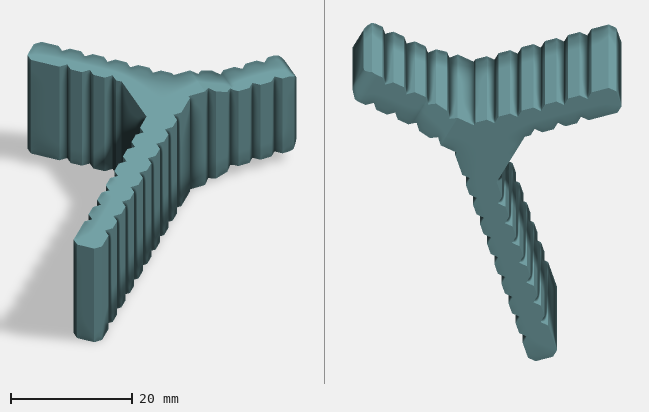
import cadquery as cq
import math

height = 20.0
arm_width = 5.0
left_arm_length = 29.0
long_arm_length = 47.0
web_leg = 7.0
end_chamfer = 1.0

groove_depth = 1.0
groove_pitch = 4.0

left_outer_first, left_outer_count = 4.0, 6
left_inner_first, left_inner_count = 14.0, 3
long_root_groove = 4.0
long_outer_first, long_outer_count = 10.0, 9
long_inner_first, long_inner_count = 16.0, 7

diagonal_length = 20.0
diagonal_width = 6.0
diagonal_height = 16.0
taper_start = 3.0
taper_end = 8.5
diagonal_groove_first, diagonal_groove_count = 4.0, 4
tip_radius = 2.0
diagonal_angle = 45.0


def groove_positions(first, count):
    return [first + i * groove_pitch for i in range(count)]


def chamfered_bar(x_start, x_end, y_center, width):
    """Full-height bar along X with its two corners at x_end chamfered."""
    bar = cq.Workplane("XY").box(x_end - x_start, width, height, centered=(False, True, False))
    bar = bar.edges("|Z and >X").chamfer(end_chamfer)
    return bar.translate((x_start, y_center, 0))


def cut_grooves(bar, positions, face_y, inward):
    """Cut V grooves into the bar side at face_y; inward is the sign of Y into the bar."""
    for x in positions:
        groove = (
            cq.Workplane("XY")
            .polyline([
                (x - groove_depth, face_y),
                (x + groove_depth, face_y),
                (x, face_y + inward * groove_depth),
            ])
            .close()
            .extrude(height)
        )
        bar = bar.cut(groove)
    return bar


def rotate_about_z(body, angle):
    return body.rotate((0, 0, 0), (0, 0, 1), angle)


def make_left_arm():
    """Built along +X with its outer side at Y = 0, then turned to point along -X."""
    arm = chamfered_bar(arm_width / 2, left_arm_length, arm_width / 2, arm_width)
    arm = cut_grooves(arm, groove_positions(left_outer_first, left_outer_count), 0, 1)
    arm = cut_grooves(arm, groove_positions(left_inner_first, left_inner_count), arm_width, -1)
    return rotate_about_z(arm, 180)


def make_long_arm():
    """Built along +X with its outer side at Y = 0, then turned to point along -Y."""
    arm = chamfered_bar(arm_width / 2, long_arm_length, -arm_width / 2, arm_width)
    outer_positions = [long_root_groove] + groove_positions(long_outer_first, long_outer_count)
    arm = cut_grooves(arm, outer_positions, 0, -1)
    arm = cut_grooves(arm, groove_positions(long_inner_first, long_inner_count), -arm_width, 1)
    return rotate_about_z(arm, -90)


def make_web():
    return (
        cq.Workplane("XY")
        .polyline([
            (-arm_width, -arm_width),
            (-arm_width - web_leg, -arm_width),
            (-arm_width, -arm_width - web_leg),
        ])
        .close()
        .extrude(height)
    )


def make_diagonal_side_profile():
    """Side shape of the diagonal arm: full height, taper, thin end with rounded tip."""
    top = (height + diagonal_height) / 2
    bottom = (height - diagonal_height) / 2
    round_start = diagonal_length - tip_radius
    round_drop = tip_radius * (1 - math.sqrt(0.5))
    round_mid = diagonal_length - round_drop
    return (
        cq.Workplane("XZ")
        .moveTo(0, 0)
        .lineTo(taper_start, 0)
        .lineTo(taper_end, bottom)
        .lineTo(round_start, bottom)
        .threePointArc((round_mid, bottom + round_drop), (diagonal_length, bottom + tip_radius))
        .lineTo(diagonal_length, top - tip_radius)
        .threePointArc((round_mid, top - round_drop), (round_start, top))
        .lineTo(taper_end, top)
        .lineTo(taper_start, height)
        .lineTo(0, height)
        .close()
        .extrude(diagonal_width / 2, both=True)
    )


def make_diagonal_arm():
    """Built along +X from the centreline crossing, then turned and moved into place."""
    half_width = diagonal_width / 2
    positions = groove_positions(diagonal_groove_first, diagonal_groove_count)
    arm = chamfered_bar(0, diagonal_length, 0, diagonal_width)
    arm = cut_grooves(arm, positions, half_width, -1)
    arm = cut_grooves(arm, positions, -half_width, 1)
    arm = arm.intersect(make_diagonal_side_profile())
    return rotate_about_z(arm, diagonal_angle).translate((-arm_width / 2, -arm_width / 2, 0))


result = (
    make_left_arm()
    .union(make_long_arm())
    .union(make_web())
    .union(make_diagonal_arm())
    .clean()
)